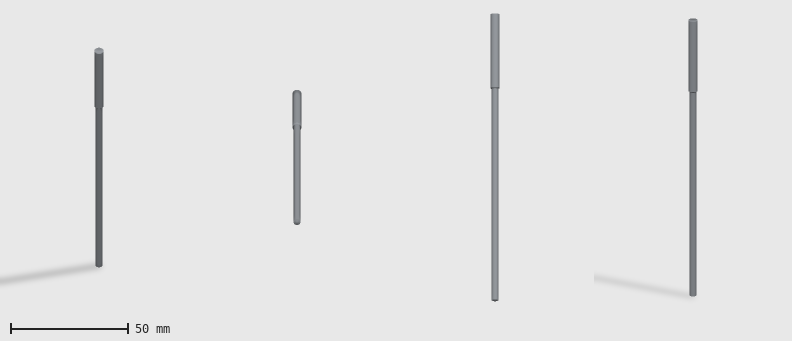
import cadquery as cq
import math

overall_length = 125.0
shank_diameter = 4.0
shank_length = 32.0
body_diameter = 3.0
top_chamfer = 0.2
point_angle = 135.0

shank_radius = shank_diameter / 2
body_radius = body_diameter / 2
point_length = body_radius / math.tan(math.radians(point_angle / 2))
shoulder_length = shank_radius - body_radius

shank_bottom = overall_length - shank_length
body_top = shank_bottom - shoulder_length


def make_tool():
    """Revolve the half profile, lying on the -X side, about the Z axis with the tip at the origin."""
    half_profile = (
        cq.Workplane("XZ")
        .moveTo(0, 0)
        .lineTo(-body_radius, point_length)
        .lineTo(-body_radius, body_top)
        .lineTo(-shank_radius, shank_bottom)
        .lineTo(-shank_radius, overall_length)
        .lineTo(0, overall_length)
        .close()
    )
    return half_profile.revolve(360, (0, 0, 0), (0, 1, 0))


def chamfer_top(tool):
    """Break the edge around the top face of the shank."""
    return tool.faces(">Z").edges().chamfer(top_chamfer)


result = chamfer_top(make_tool())